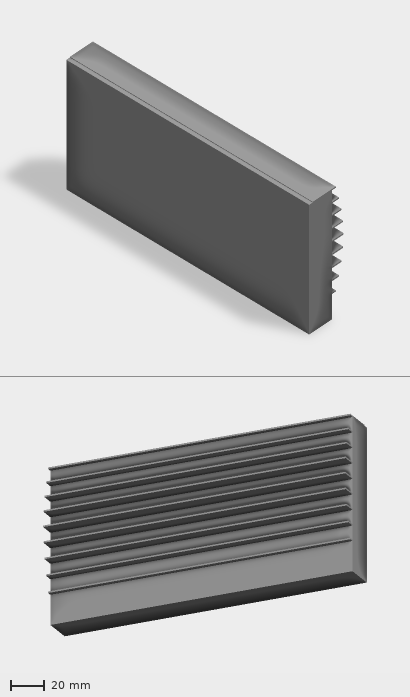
import math

import cadquery as cq

LENGTH = 200
DEPTH = 20
HEIGHT = 100

SLAT_COUNT = 9
SLAT_PITCH = 10
SLAT_THICKNESS = 1.0
SLAT_DEPTH = DEPTH
WAVE_AMPLITUDE = 10
TOP_SLAT_Z = HEIGHT


def slat(index):
    """Slat number index, counted from 1 at the top of the block."""
    wave_angle = math.pi * index / (SLAT_COUNT + 1)
    shift = WAVE_AMPLITUDE * math.sin(wave_angle)
    z_center = TOP_SLAT_Z - (index - 1) * SLAT_PITCH
    return (
        cq.Workplane("XY")
        .box(LENGTH, SLAT_DEPTH, SLAT_THICKNESS, centered=(True, False, True))
        .translate((0, shift, z_center))
    )


result = cq.Workplane("XY").box(LENGTH, DEPTH, HEIGHT, centered=(True, False, False))
for slat_index in range(1, SLAT_COUNT + 1):
    result = result.union(slat(slat_index))